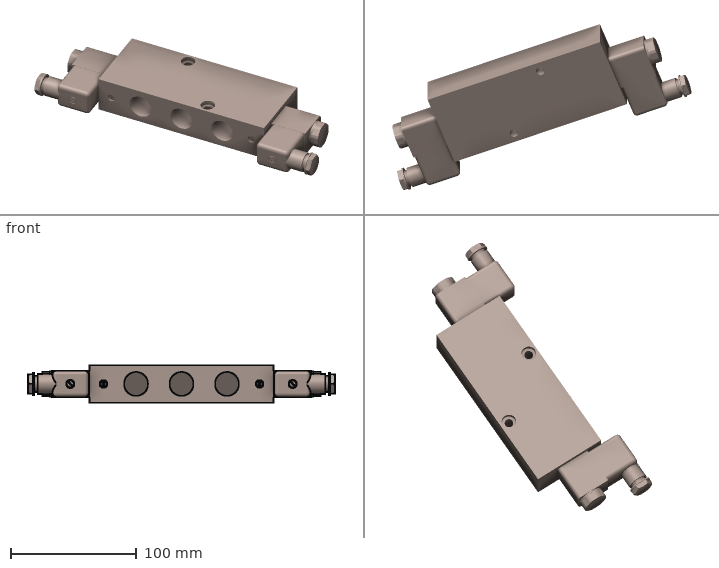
import cadquery as cq
import math

block_length = 146.5
block_width = 60.0
block_height = 30.0
half_length = block_length / 2
block_middle_y = block_width / 2

port_diameter = 19.0
port_spacing = 36.0
port_depth = 29.3

bolt_offset_x = 19.8
bolt_offset_y = 22.5
bolt_diameter = 6.8
counterbore_diameter = 11.5
counterbore_depth = 3.7

coil_end_x = 103.2
coil_front_y = 13.2
coil_back_y = 41.2
coil_height = 21.2
coil_back_radius = 3.0

nut_diameter = 20.3
nut_across_flats = 19.5
nut_end_x = 110.8
nut_flats = 8
collar_end_x = 104.7

plug_inner_x = 73.7
plug_outer_x = 102.5
plug_height = 21.0
plug_front_y = -16.0
plug_fillet = 3.2

gland_y = -8.0
gland_radius = 8.0
gland_shoulder_x = 114.2
neck_radius = 6.5
washer_start_x = 116.9
washer_thickness = 1.2
hex_sides = 6
hex_radius = 9.0
hex_end_x = 122.0
hex_end_radius = 8.0

screw_ring_depth = 0.7
screw_slot_depth = 0.5
block_screw_x = 62.0
block_screw_diameter = 6.0
block_screw_head_diameter = 4.6
block_screw_sink = 1.2
block_screw_slot_width = 1.2
block_screw_slot_angle = 90.0
plug_screw_x = 88.3
plug_screw_diameter = 6.5
plug_screw_head_diameter = 5.5
plug_screw_sink = 0.0
plug_screw_slot_width = 0.5
plug_screw_slot_angle = -45.0


def box_between(x_range, y_range, height):
    """Box over the given X and Y ranges, centred on Z = 0."""
    x_start, x_end = x_range
    y_start, y_end = y_range
    return (
        cq.Workplane("XY")
        .box(x_end - x_start, y_end - y_start, height, centered=(False, False, True))
        .translate((x_start, y_start, 0))
    )


def rod_along_x(x_start, x_end, y, radius):
    """Round bar along X with its axis at the given Y and Z = 0."""
    return cq.Workplane("YZ", origin=(x_start, y, 0)).circle(radius).extrude(x_end - x_start)


def rod_along_y(x, y_start, length, radius):
    """Round bar along +Y with its axis at the given X and Z = 0."""
    return cq.Workplane("XZ", origin=(x, y_start, 0)).circle(radius).extrude(-length)


def screw_pocket(x, face_y, pocket_diameter, head_diameter, sink, slot_width, slot_angle):
    """Material to remove from a front face so that a slotted screw head stands in a round pocket."""
    head_y = face_y + sink
    pocket = rod_along_y(x, face_y, sink + screw_ring_depth, pocket_diameter / 2)
    head = rod_along_y(x, head_y, screw_ring_depth, head_diameter / 2)
    slot = (
        cq.Workplane("XZ", origin=(x, head_y, 0))
        .transformed(rotate=(0, 0, slot_angle))
        .rect(head_diameter, slot_width)
        .extrude(-screw_slot_depth)
    )
    return pocket.cut(head.cut(slot))


def block_screw_pocket(x):
    return screw_pocket(
        x, 0, block_screw_diameter, block_screw_head_diameter,
        block_screw_sink, block_screw_slot_width, block_screw_slot_angle,
    )


def plug_screw_pocket(x):
    return screw_pocket(
        x, plug_front_y, plug_screw_diameter, plug_screw_head_diameter,
        plug_screw_sink, plug_screw_slot_width, plug_screw_slot_angle,
    )


def make_block():
    block = box_between((-half_length, half_length), (0, block_width), block_height)
    for position in (-1, 0, 1):
        block = block.cut(rod_along_y(position * port_spacing, 0, port_depth, port_diameter / 2))
    return (
        block.faces(">Z")
        .workplane(origin=(0, block_middle_y, 0))
        .pushPoints([(-bolt_offset_x, bolt_offset_y), (bolt_offset_x, -bolt_offset_y)])
        .cboreHole(bolt_diameter, counterbore_diameter, counterbore_depth)
    )


def make_coil():
    coil = box_between((half_length, coil_end_x), (coil_front_y, coil_back_y), coil_height)
    return coil.edges("|X and >Y").fillet(coil_back_radius)


def make_coil_nut():
    collar = rod_along_x(coil_end_x, collar_end_x, block_middle_y, nut_diameter / 2)
    drum = rod_along_x(collar_end_x, nut_end_x, block_middle_y, nut_diameter / 2)
    flats = (
        cq.Workplane("YZ", origin=(collar_end_x, block_middle_y, 0))
        .transformed(rotate=(0, 0, 180 / nut_flats))
        .polygon(nut_flats, nut_across_flats / math.cos(math.pi / nut_flats))
        .extrude(nut_end_x - collar_end_x)
    )
    return collar.union(drum.intersect(flats))


def make_plug():
    plug = box_between((plug_inner_x, plug_outer_x), (plug_front_y, coil_front_y), plug_height)
    return plug.edges("|Y or <Y").fillet(plug_fillet)


def make_gland():
    washer_end_x = washer_start_x + washer_thickness
    hex_length = hex_end_x - washer_end_x
    sleeve = rod_along_x(plug_outer_x - plug_fillet, gland_shoulder_x, gland_y, gland_radius)
    neck = rod_along_x(gland_shoulder_x, washer_start_x, gland_y, neck_radius)
    washer = rod_along_x(washer_start_x, washer_end_x, gland_y, hex_radius)
    hexagon = (
        cq.Workplane("YZ", origin=(washer_end_x, gland_y, 0))
        .polygon(hex_sides, 2 * hex_radius)
        .extrude(hex_length)
    )
    bevel = (
        cq.Workplane("YZ", origin=(washer_end_x, gland_y, 0))
        .circle(hex_end_radius + hex_length)
        .workplane(offset=hex_length)
        .circle(hex_end_radius)
        .loft()
    )
    return sleeve.union(neck).union(washer).union(hexagon.intersect(bevel))


def make_end_assembly():
    return make_coil().union(make_coil_nut()).union(make_plug()).union(make_gland())


right_end = make_end_assembly()
result = make_block().union(right_end).union(right_end.mirror("YZ"))
for side in (-1, 1):
    result = result.cut(block_screw_pocket(side * block_screw_x))
    result = result.cut(plug_screw_pocket(side * plug_screw_x))